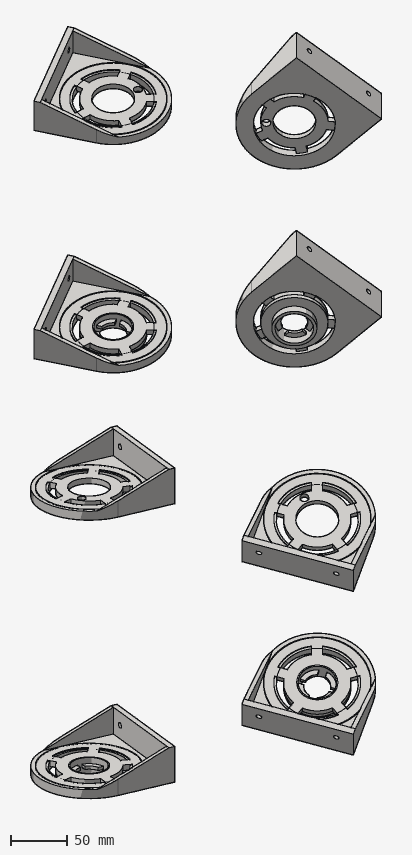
import cadquery as cq
import math

WIDTH = 104.0
NOSE_RADIUS = WIDTH / 2
LENGTH = 110.0
AXIS_X = LENGTH - NOSE_RADIUS
BRACKET_HEIGHT = 35.0
FLOOR_THICKNESS = 8.8
BACK_THICKNESS = 6.0
SLOPE_END_X = 77.5
RECESS_DIAMETER = 95.8
RECESS_DEPTH = 1.0
OPENING_DIAMETER = 72.8
SCREW_HOLE_DIAMETER = 5.0
SCREW_HOLE_SPACING = 72.0
SCREW_HOLE_HEIGHT = 22.0

RIM_DIAMETER = 95.0
DISC_THICKNESS = 5.7
SPOKE_COUNT = 5
SPOKE_WIDTH = 10.0
SLOT_OUTER_DIAMETER = 77.2
HUB_DIAMETER = 60.0
UPPER_BORE_DIAMETER = 38.0
LOWER_BORE_DIAMETER = 36.5
WIRE_HOLE_DIAMETER = 8.0
WIRE_HOLE_RADIUS = 25.0
WIRE_HOLE_ANGLE = 45

SOCKET_BORE_DIAMETER = 34.0
SOCKET_COLLAR_DIAMETER = 40.0
FLANGE_OVERHANG = 1.0
SOCKET_DROP = 8.2
TAB_DEPTH = 6.0
TAB_THICKNESS = 3.0
TAB_HOLE_DIAMETER = 24.0
WIDE_KEYWAY = 7.5
NARROW_KEYWAY = 4.5

TOTAL_HEIGHT = 315.0
LOWER_Z = SOCKET_DROP
UPPER_Z = TOTAL_HEIGHT - BRACKET_HEIGHT


def cylinder(diameter, bottom, top):
    """Solid cylinder on the common axis between two heights."""
    return (
        cq.Workplane("XY", origin=(AXIS_X, 0, bottom))
        .circle(diameter / 2)
        .extrude(top - bottom)
    )


def make_bracket(base_z):
    side_profile = (
        cq.Workplane("XZ", origin=(0, WIDTH / 2, base_z))
        .polyline([
            (0, 0),
            (LENGTH, 0),
            (LENGTH, FLOOR_THICKNESS),
            (SLOPE_END_X, FLOOR_THICKNESS),
            (BACK_THICKNESS, BRACKET_HEIGHT),
            (0, BRACKET_HEIGHT),
        ])
        .close()
        .extrude(WIDTH)
    )
    plan = (
        cq.Workplane("XY", origin=(0, 0, base_z))
        .moveTo(0, -WIDTH / 2)
        .lineTo(AXIS_X, -WIDTH / 2)
        .threePointArc((LENGTH, 0), (AXIS_X, WIDTH / 2))
        .lineTo(0, WIDTH / 2)
        .close()
        .extrude(BRACKET_HEIGHT)
    )
    floor_z = base_z + FLOOR_THICKNESS
    trough = cq.Workplane("XY", origin=(BACK_THICKNESS, 0, floor_z)).box(
        LENGTH, RECESS_DIAMETER, BRACKET_HEIGHT, centered=(False, True, False)
    )
    screw_holes = (
        cq.Workplane("YZ", origin=(0, 0, base_z + SCREW_HOLE_HEIGHT))
        .pushPoints([(-SCREW_HOLE_SPACING / 2, 0), (SCREW_HOLE_SPACING / 2, 0)])
        .circle(SCREW_HOLE_DIAMETER / 2)
        .extrude(BACK_THICKNESS)
    )
    return (
        side_profile.intersect(plan)
        .cut(trough)
        .cut(cylinder(RECESS_DIAMETER, floor_z - RECESS_DEPTH, floor_z))
        .cut(cylinder(OPENING_DIAMETER, base_z, floor_z))
        .cut(screw_holes)
    )


def make_spokes(bottom, top):
    """Parallel-sided spokes around the axis, the first one along +Y."""
    spokes = cq.Workplane("XY")
    for index in range(SPOKE_COUNT):
        spoke = (
            cq.Workplane("XY", origin=(AXIS_X, 0, bottom))
            .transformed(rotate=(0, 0, index * 360 / SPOKE_COUNT))
            .rect(SPOKE_WIDTH, RIM_DIAMETER / 2, centered=(True, False))
            .extrude(top - bottom)
        )
        spokes = spokes.add(spoke)
    return spokes.combine()


def make_disc(base_z, bore_diameter):
    top = base_z + FLOOR_THICKNESS
    bottom = top - DISC_THICKNESS
    rim = cylinder(RIM_DIAMETER, top - RECESS_DEPTH, top)
    plug = cylinder(OPENING_DIAMETER, bottom, top - RECESS_DEPTH)
    slots = (
        cylinder(SLOT_OUTER_DIAMETER, bottom, top)
        .cut(cylinder(HUB_DIAMETER, bottom, top))
        .cut(make_spokes(bottom, top))
    )
    return rim.union(plug).cut(slots).cut(cylinder(bore_diameter, bottom, top))


def drill_wire_hole(disc):
    angle = math.radians(WIRE_HOLE_ANGLE)
    hole = (
        cq.Workplane("XY", origin=(AXIS_X, 0, UPPER_Z))
        .center(WIRE_HOLE_RADIUS * math.cos(angle), WIRE_HOLE_RADIUS * math.sin(angle))
        .circle(WIRE_HOLE_DIAMETER / 2)
        .extrude(FLOOR_THICKNESS)
    )
    return disc.cut(hole)


def make_socket():
    top = LOWER_Z + FLOOR_THICKNESS
    disc_underside = top - DISC_THICKNESS
    flange_bottom = LOWER_Z - FLANGE_OVERHANG
    tab_top = top - TAB_DEPTH
    tab_bottom = tab_top - TAB_THICKNESS
    body = (
        cylinder(LOWER_BORE_DIAMETER, disc_underside, top)
        .union(cylinder(HUB_DIAMETER, flange_bottom, disc_underside))
        .union(cylinder(SOCKET_COLLAR_DIAMETER, 0, flange_bottom))
        .cut(cylinder(SOCKET_BORE_DIAMETER, 0, top))
    )
    tab_plane = cq.Workplane("XY", origin=(AXIS_X, 0, tab_bottom))
    tabs = (
        cylinder(SOCKET_BORE_DIAMETER, tab_bottom, tab_top)
        .cut(cylinder(TAB_HOLE_DIAMETER, tab_bottom, tab_top))
        .cut(tab_plane.rect(SOCKET_BORE_DIAMETER, WIDE_KEYWAY).extrude(TAB_THICKNESS))
        .cut(tab_plane.rect(NARROW_KEYWAY, SOCKET_BORE_DIAMETER).extrude(TAB_THICKNESS))
    )
    return body.union(tabs)


brackets = [make_bracket(base_z) for base_z in (LOWER_Z, UPPER_Z)]
lower_disc = make_disc(LOWER_Z, LOWER_BORE_DIAMETER)
upper_disc = drill_wire_hole(make_disc(UPPER_Z, UPPER_BORE_DIAMETER))
socket = make_socket()

result = cq.Compound.makeCompound([
    *[bracket.val() for bracket in brackets],
    lower_disc.val(),
    upper_disc.val(),
    socket.val(),
])